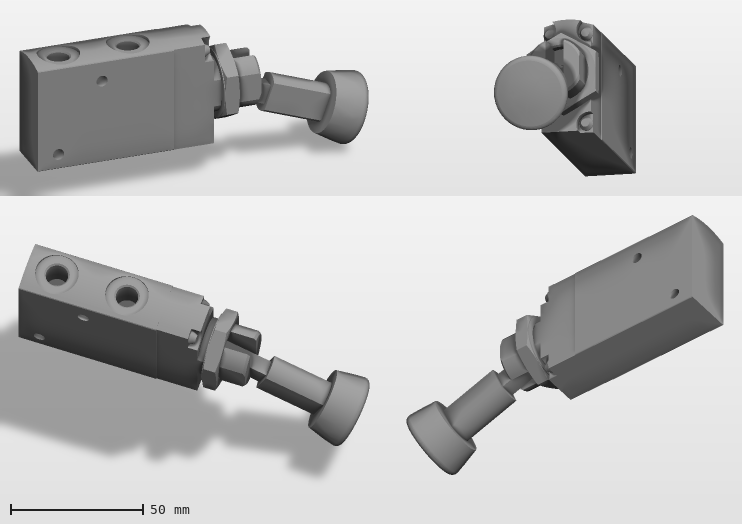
import cadquery as cq
import math

BLOCK_WIDTH = 20.0
HEAD_WIDTH = 19.2
SIDE_HEIGHT = 41.9
CROWN_HEIGHT = 43.5
EDGE_CHAMFER = 0.3
BLOCK_END = 55.0
HEAD_END = 71.4
AXIS_Z = 20.8

PORT_POSITIONS = (12.0, 40.0)
PORT_DIA = 8.5
PORT_MOUTH_DIA = 9.7
PORT_DEPTH = 12.2
SPOTFACE_DIA = 16.5
SPOTFACE_Z = 42.2
MOUNT_HOLE_DIA = 4.5
MOUNT_HOLES = ((8.4, 6.0), (26.0, 33.8))

NUT_START = 74.2
NUT_END = 80.3
BUSH_END = 90.5
BUSH_DIA = 22.0
NUT_SEAT_DIA = 20.4
BUSH_CHAMFER = 1.0
SLOT_WIDTH = 7.0
SLOT_FLOOR = 75.7

NUT_FLATS = 27.0
HALF_SIDE_ANGLE = 30.0
NUT_CHAMFER_ANGLE = 15.0
NUT_BORE_CHAMFER = 0.7
NUT_COLLAR = 0.34
NUT_COLLAR_DIA = 26.8

SCREW_X = 7.0
SCREW_RISE = 17.6
SCREW_CORNERS = ((-1, 1), (1, 1), (-1, -1))
SCREW_HEAD_DIA = 5.1
SCREW_TIP_DIA = 3.1
SCREW_RIM = 0.5
SCREW_HEAD_HEIGHT = 2.6
SHANK_DIA = 3.0
SHANK_IN_BLOCK = 8.1
POCKET_X = 8.8
POCKET_RISE = 18.5
POCKET_DIA = 9.7
POCKET_FLOOR = 67.6

TILT = 20.0
PIVOT_Y = 75.2
BAR_WIDTH = 6.1
BAR_HEIGHT = 7.8
STEM_START = 21.5
STEM_DIA = 15.0
STEM_FLATS = 10.0
KNOB_START = 45.8
KNOB_BASE_DIA = 24.1
KNOB_DIA = 28.4
KNOB_MIDDLE_DIA = 26.6
KNOB_SIDE_LENGTH = 11.1
KNOB_RIM_FILLET = 2.0
KNOB_DOME = 1.6


def along_y(start, x=0.0, z=0.0):
    """Sketch plane facing +Y at the given station, with local X = -X and local Y = Z."""
    return cq.Workplane(cq.Plane(origin=(x, start, z), xDir=(-1, 0, 0), normal=(0, 1, 0)))


def rod(diameter, start, end, x=0.0, z=0.0):
    """Cylinder along Y."""
    return along_y(start, x, z).circle(diameter / 2).extrude(end - start)


def domed_prism(width, start, end):
    """Rectangular bar along Y with an arched top."""
    half = width / 2
    return (
        along_y(start)
        .moveTo(-half, 0)
        .lineTo(half, 0)
        .lineTo(half, SIDE_HEIGHT)
        .threePointArc((0, CROWN_HEIGHT), (-half, SIDE_HEIGHT))
        .close()
        .extrude(end - start)
    )


def screw_places():
    """(X, Z) of each head screw."""
    return [(sx * SCREW_X, AXIS_Z + sz * SCREW_RISE) for sx, sz in SCREW_CORNERS]


def port(y):
    """Spotfaced port, entered from the crown."""
    spotface = (
        cq.Workplane("XY", origin=(0, y, SPOTFACE_Z))
        .circle(SPOTFACE_DIA / 2)
        .extrude(CROWN_HEIGHT - SPOTFACE_Z)
    )
    bore = cq.Workplane("XY", origin=(0, y, SPOTFACE_Z)).circle(PORT_DIA / 2).extrude(-PORT_DEPTH)
    mouth_depth = (PORT_MOUTH_DIA - PORT_DIA) / 2
    mouth = (
        cq.Workplane("XY", origin=(0, y, SPOTFACE_Z))
        .circle(PORT_MOUTH_DIA / 2)
        .workplane(offset=-mouth_depth)
        .circle(PORT_DIA / 2)
        .loft()
    )
    return spotface.union(bore).union(mouth)


def make_block():
    block = domed_prism(BLOCK_WIDTH, 0, BLOCK_END).edges("|Y").chamfer(EDGE_CHAMFER)
    for y in PORT_POSITIONS:
        block = block.cut(port(y))
    holes = (
        cq.Workplane("YZ", origin=(-BLOCK_WIDTH / 2, 0, 0))
        .pushPoints(MOUNT_HOLES)
        .circle(MOUNT_HOLE_DIA / 2)
        .extrude(BLOCK_WIDTH)
    )
    block = block.cut(holes)
    for x, z in screw_places():
        block = block.cut(rod(SHANK_DIA, BLOCK_END - SHANK_IN_BLOCK, BLOCK_END, x, z))
    return block


def make_bush():
    """Threaded bush with side flats, a nut seat and a slot for the lever."""
    neck = rod(BUSH_DIA, HEAD_END, NUT_START, z=AXIS_Z)
    seat = rod(NUT_SEAT_DIA, NUT_START, NUT_END, z=AXIS_Z)
    thread = rod(BUSH_DIA, NUT_END, BUSH_END, z=AXIS_Z).faces(">Y").chamfer(BUSH_CHAMFER)
    bush = neck.union(seat).union(thread)
    length = BUSH_END - HEAD_END
    flats = along_y(HEAD_END, z=AXIS_Z).rect(HEAD_WIDTH, BUSH_DIA).extrude(length)
    slot = along_y(SLOT_FLOOR, z=AXIS_Z).rect(SLOT_WIDTH, BUSH_DIA).extrude(BUSH_END - SLOT_FLOOR)
    return bush.intersect(flats).cut(slot)


def make_head():
    head = domed_prism(HEAD_WIDTH, BLOCK_END, HEAD_END).union(make_bush())
    for sx, sz in SCREW_CORNERS:
        head = head.cut(rod(POCKET_DIA, POCKET_FLOOR, HEAD_END, sx * POCKET_X, AXIS_Z + sz * POCKET_RISE))
    for x, z in screw_places():
        head = head.cut(rod(SHANK_DIA, BLOCK_END, POCKET_FLOOR, x, z))
    return head


def make_nut():
    """Hexagon with its corners coned off at both ends and a round collar toward the head."""
    hex_start = NUT_START + NUT_COLLAR
    flat_radius = NUT_FLATS / 2
    corner_radius = flat_radius / math.cos(math.radians(HALF_SIDE_ANGLE))
    hexagon = (
        along_y(hex_start, z=AXIS_Z)
        .polygon(6, 2 * corner_radius)
        .extrude(NUT_END - hex_start)
        .rotate((0, 0, AXIS_Z), (0, 1, AXIS_Z), HALF_SIDE_ANGLE)
    )
    rise = (corner_radius - flat_radius) * math.tan(math.radians(NUT_CHAMFER_ANGLE))
    coned_envelope = (
        cq.Workplane("XY", origin=(0, 0, AXIS_Z))
        .polyline([
            (0, hex_start),
            (flat_radius, hex_start),
            (corner_radius, hex_start + rise),
            (corner_radius, NUT_END - rise),
            (flat_radius, NUT_END),
            (0, NUT_END),
        ])
        .close()
        .revolve(360, (0, 0, 0), (0, 1, 0))
    )
    collar = rod(NUT_COLLAR_DIA, NUT_START, hex_start, z=AXIS_Z)
    nut = hexagon.intersect(coned_envelope).union(collar)
    nut = nut.cut(rod(NUT_SEAT_DIA, NUT_START, NUT_END, z=AXIS_Z))
    bore_edges = nut.edges("%CIRCLE").edges(cq.selectors.RadiusNthSelector(0))
    return bore_edges.chamfer(NUT_BORE_CHAMFER)


def make_screw(x, z):
    """Screw with a coned head resting on its pocket floor."""
    shank = rod(SHANK_DIA, BLOCK_END - SHANK_IN_BLOCK, POCKET_FLOOR, x, z)
    rim = rod(SCREW_HEAD_DIA, POCKET_FLOOR, POCKET_FLOOR + SCREW_RIM, x, z)
    cone = (
        along_y(POCKET_FLOOR + SCREW_RIM, x, z)
        .circle(SCREW_HEAD_DIA / 2)
        .workplane(offset=SCREW_HEAD_HEIGHT - SCREW_RIM)
        .circle(SCREW_TIP_DIA / 2)
        .loft()
    )
    return shank.union(rim).union(cone)


def make_knob():
    """Flared knob with a rounded rim and a slightly domed end, turned about Y."""
    radius = KNOB_DIA / 2
    side_end = KNOB_START + KNOB_SIDE_LENGTH
    rim = side_end + KNOB_RIM_FILLET
    dome_radius = (radius ** 2 + KNOB_DOME ** 2) / (2 * KNOB_DOME)
    half_angle = math.asin(radius / dome_radius) / 2
    dome_middle = (
        dome_radius * math.sin(half_angle),
        rim + KNOB_DOME - dome_radius * (1 - math.cos(half_angle)),
    )
    knob = (
        cq.Workplane("XY")
        .moveTo(0, KNOB_START)
        .lineTo(KNOB_BASE_DIA / 2, KNOB_START)
        .threePointArc((KNOB_MIDDLE_DIA / 2, KNOB_START + KNOB_SIDE_LENGTH / 2), (radius, side_end))
        .lineTo(radius, rim)
        .threePointArc(dome_middle, (0, rim + KNOB_DOME))
        .close()
        .revolve(360, (0, 0, 0), (0, 1, 0))
    )
    rim_circle = knob.edges(cq.selectors.NearestToPointSelector((0, rim, 0)))
    return rim_circle.fillet(KNOB_RIM_FILLET)


def make_lever():
    """Bar, flatted stem and knob on one tilted axis; the bar ends flat on the slot floor."""
    bar = cq.Workplane("XY").box(BAR_WIDTH, 2 * STEM_START, BAR_HEIGHT)
    stem = rod(STEM_DIA, STEM_START, KNOB_START)
    stem = stem.intersect(cq.Workplane("XY").box(STEM_FLATS, 2 * KNOB_START, STEM_DIA))
    lever = bar.union(stem).union(make_knob())
    lever = lever.rotate((0, 0, 0), (1, 0, 0), -TILT).translate((0, PIVOT_Y, AXIS_Z))
    behind_floor = along_y(SLOT_FLOOR, z=AXIS_Z).rect(BLOCK_WIDTH, 2 * CROWN_HEIGHT).extrude(-2 * STEM_START)
    return lever.cut(behind_floor)


block = make_block()
head = make_head()
nut = make_nut()
lever = make_lever()
screws = [make_screw(x, z) for x, z in screw_places()]

result = cq.Compound.makeCompound(
    [block.val(), head.val(), nut.val(), lever.val(), *[screw.val() for screw in screws]]
)